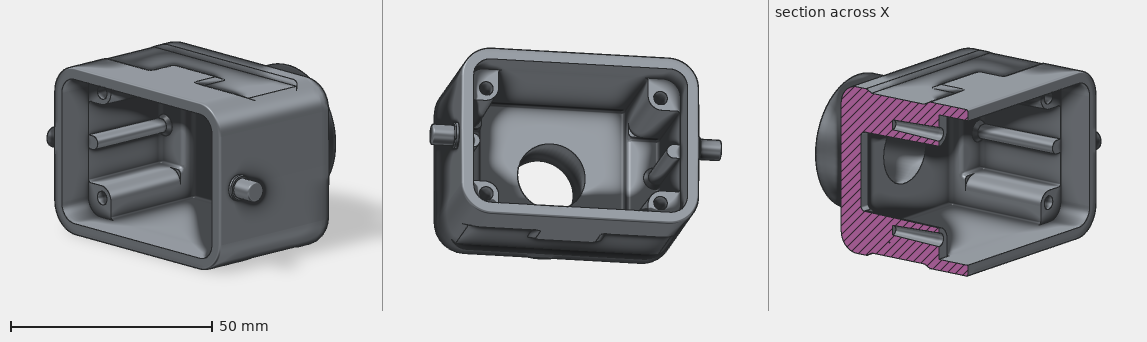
import cadquery as cq
import math

half_width = 29.9
peak_half_width = 30.1
body_height = 43.0
body_depth = 40.0
corner_radius = 7.6
back_edge_radius = 5.05
mouth_edge_radius = 0.6
half_height = body_height / 2
overlap = 0.7

collar_diameter = 34.2
total_depth = 52.5
collar_edge_radius = 1.2
collar_root_radius = 0.9
cable_hole_diameter = 17.1

mouth_width = 54.1
mouth_height = 37.1
mouth_corner_radius = 4.45
back_wall = 2.9
cavity_floor = body_depth - back_wall
floor_radius = 1.0
draft_angle = 0.75

post_front = 9.05
post_gap_x = 37.8
post_gap_z = 20.9
post_corner_radius = 3.5
post_root_radius = 0.7
screw_spacing_x = 44.1
screw_spacing_z = 27.15
screw_hole_diameter = 2.4
screw_mouth_diameter = 3.4
screw_hole_depth = 14.6

pocket_width = 53.9
pocket_floor = 33.6
pocket_edge_radius = 1.1
rib_front = 9.05
rib_center_x = 25.4
rib_radius = 1.75
rib_root_radius = 1.0

pin_span = 73.0
pin_y = 6.1
pin_diameter = 5.1
pin_edge_radius = 0.45
pin_collar_diameter = 6.6
pin_collar_span = 62.2
pin_collar_chamfer = 0.3

recess_depth = 0.9
recess_slope = 2.0
recess_front = 12.0
recess_back = 32.0
recess_floor_width = 51.25
recess_flank_slope = 0.47
recess_cut_depth = 2 * recess_depth
tab_half_width = 7.6
tab_back = 19.9
tab_corner_radius = 2.6


def xz_plane(y):
    """Workplane at the given Y whose normal points to +Y; local x is -X, local y is +Z."""
    return cq.Workplane(cq.Plane((0, y, 0), (-1, 0, 0), (0, 1, 0)))


def y_block(width, height, y_start, y_end):
    return xz_plane(y_start).rect(width, height).extrude(y_end - y_start)


def y_cylinder(diameter, y_start, y_end):
    return xz_plane(y_start).circle(diameter / 2).extrude(y_end - y_start)


def x_cylinder(diameter, span):
    return (
        cq.Workplane("YZ")
        .center(pin_y, 0)
        .circle(diameter / 2)
        .extrude(span / 2, both=True)
    )


def loft_sections(first, last):
    """Solid between two single-wire sketches."""
    return cq.Workplane(cq.Solid.makeLoft([first.wires().val(), last.wires().val()]))


def make_body():
    outline = [
        (peak_half_width, 0),
        (half_width, half_height),
        (-half_width, half_height),
        (-peak_half_width, 0),
        (-half_width, -half_height),
        (half_width, -half_height),
    ]
    shell = xz_plane(0).polyline(outline).close().extrude(body_depth)
    shell = shell.edges("|Y").edges(">Z or <Z").fillet(corner_radius)
    shell = shell.faces(">Y").edges().fillet(back_edge_radius)
    return shell.faces("<Y").edges().fillet(mouth_edge_radius)


def make_collar():
    collar = y_cylinder(collar_diameter, cavity_floor, total_depth)
    return collar.faces(">Y").edges().fillet(collar_edge_radius)


def make_collar_root():
    """Flared ring that blends the collar into the back wall."""
    radius = collar_diameter / 2
    top = body_depth + collar_root_radius
    return (
        cq.Workplane("XY")
        .moveTo(0, cavity_floor)
        .lineTo(radius, cavity_floor)
        .lineTo(radius + collar_root_radius, body_depth)
        .radiusArc((radius, top), collar_root_radius)
        .lineTo(0, top)
        .close()
        .revolve(360, (0, 0, 0), (0, 1, 0))
    )


def make_drafted_box(width, height, floor):
    """Rounded box from the post ends to the given floor, narrowing toward it by the draft angle."""
    box = xz_plane(post_front).rect(width, height).extrude(floor - post_front, taper=draft_angle)
    box = box.edges("not(#Y)").fillet(post_root_radius)
    return box.faces(">Y").edges().fillet(floor_radius)


def make_post_rounding():
    """Space in front of the rounded inner corner of one post, down to the pocket's floor rounding."""
    def section(y):
        inset = (y - post_front) * math.tan(math.radians(draft_angle))
        wall_x = post_gap_x / 2 - inset
        wall_z = post_gap_z / 2 - inset
        radius = post_corner_radius
        on_arc = radius * (1 - math.sqrt(0.5))
        return (
            xz_plane(y)
            .moveTo(wall_x - post_root_radius, wall_z - post_root_radius)
            .lineTo(wall_x - post_root_radius, wall_z + radius)
            .lineTo(wall_x, wall_z + radius)
            .threePointArc((wall_x + on_arc, wall_z + on_arc), (wall_x + radius, wall_z))
            .lineTo(wall_x + radius, wall_z - post_root_radius)
            .close()
        )

    return loft_sections(section(post_front), section(pocket_floor - floor_radius))


def make_cavity():
    mouth = y_block(mouth_width, mouth_height, 0, post_front)
    mouth = mouth.edges("|Y").fillet(mouth_corner_radius)
    center = make_drafted_box(post_gap_x, mouth_height, cavity_floor)
    pockets = make_drafted_box(pocket_width, post_gap_z, pocket_floor)
    inner = center.union(pockets)
    reach_x = post_gap_x / 2 + overlap
    reach_z = post_gap_z / 2 + overlap
    inner_edges = cq.selectors.BoxSelector(
        (-reach_x, post_front + overlap, -reach_z), (reach_x, pocket_floor + overlap, reach_z)
    )
    inner = inner.edges(inner_edges).fillet(pocket_edge_radius)
    rounding = make_post_rounding()
    for corner in (rounding, rounding.mirror("YZ")):
        inner = inner.union(corner).union(corner.mirror("XY"))
    return mouth.union(inner)


def make_rib_section(side, radius, y):
    """D-shaped section of a rib: round toward the middle, running into the outer pocket wall."""
    center = -side * rib_center_x
    wall = -side * (pocket_width / 2 + overlap)
    return (
        xz_plane(y)
        .moveTo(wall, radius)
        .lineTo(center, radius)
        .threePointArc((center + side * radius, 0), (center, -radius))
        .lineTo(wall, -radius)
        .close()
    )


def make_rib(side):
    """Guide rib along the outer wall of a side pocket, widening where it meets the pocket floor."""
    rib = make_rib_section(side, rib_radius, rib_front).extrude(pocket_floor - rib_front)
    root_start = pocket_floor - rib_root_radius
    root = loft_sections(
        make_rib_section(side, rib_radius, root_start),
        make_rib_section(side, rib_radius + rib_root_radius, pocket_floor),
    )
    return rib.union(root)


def make_screw_holes():
    """Four blind holes in the post ends, tapering toward their bottoms."""
    hole = loft_sections(
        xz_plane(post_front).circle(screw_mouth_diameter / 2),
        xz_plane(post_front + screw_hole_depth).circle(screw_hole_diameter / 2),
    )
    holes = cq.Workplane()
    for x in (-screw_spacing_x / 2, screw_spacing_x / 2):
        for z in (-screw_spacing_z / 2, screw_spacing_z / 2):
            holes = holes.add(hole.translate((x, 0, z)))
    return holes.combine()


def make_pins(cavity):
    pins = x_cylinder(pin_diameter, pin_span).faces("<X or >X").edges().fillet(pin_edge_radius)
    collars = x_cylinder(pin_collar_diameter, pin_collar_span)
    collars = collars.faces("<X or >X").edges().chamfer(pin_collar_chamfer)
    return pins.union(collars).cut(cavity)


def make_recess():
    """Cutter for the recess in the upper face: sloped ends, a raised central tab, dropping flanks."""
    run = recess_slope * recess_cut_depth
    top = half_height
    bottom = half_height - recess_cut_depth
    reach = half_width + overlap
    trough = (
        cq.Workplane("YZ")
        .polyline([
            (recess_front, top),
            (recess_back, top),
            (recess_back - run, bottom),
            (recess_front + run, bottom),
        ])
        .close()
        .extrude(reach, both=True)
    )
    tab_top_wire = cq.Workplane("XY", origin=(0, tab_back / 2, top)).rect(2 * tab_half_width, tab_back)
    tab_foot_wire = cq.Workplane("XY", origin=(0, (tab_back + run) / 2, bottom)).rect(
        2 * (tab_half_width + run), tab_back + run
    )
    tab = loft_sections(tab_foot_wire, tab_top_wire)
    floor_z = top - recess_depth
    edge = recess_floor_width / 2
    flank_z = floor_z - recess_flank_slope * (reach - edge)
    limit = (
        cq.Workplane("XZ")
        .polyline([(-edge, floor_z), (edge, floor_z), (reach, flank_z), (reach, top),
                   (-reach, top), (-reach, flank_z)])
        .close()
        .extrude(-body_depth)
    )
    cutter = trough.cut(tab).intersect(limit)
    tab_corners = cq.selectors.BoxSelector(
        (-edge + overlap, 0, floor_z + recess_depth / 4),
        (edge - overlap, body_depth, top - recess_depth / 4),
    )
    return cutter.edges(tab_corners).fillet(tab_corner_radius)


cavity = make_cavity()
recess = make_recess()

result = make_body().union(make_collar()).union(make_collar_root())
result = result.cut(cavity)
for side in (-1, 1):
    result = result.union(make_rib(side))
result = result.cut(make_screw_holes())
result = result.cut(y_cylinder(cable_hole_diameter, 0, total_depth))
result = result.union(make_pins(cavity))
result = result.cut(recess).cut(recess.mirror("XY"))